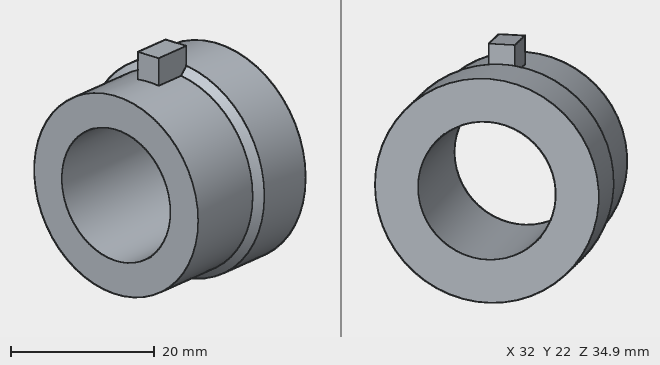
import cadquery as cq

length = 22.0
collar_radius = 16.0
body_radius = 14.85
bore_radius = 9.83
collar_length = 9.0
chamfer = collar_radius - body_radius

overall_height = 34.85
key_width = 3.75
key_length = 6.03
key_top = overall_height - collar_radius

front_y = -length / 2
back_y = length / 2
collar_front_y = back_y - collar_length


def make_sleeve():
    """Revolve the stepped wall section about the Y axis."""
    section = [
        (bore_radius, front_y),
        (body_radius, front_y),
        (body_radius, collar_front_y - chamfer),
        (collar_radius, collar_front_y),
        (collar_radius, back_y),
        (bore_radius, back_y),
    ]
    return cq.Workplane("XY").polyline(section).close().revolve(360, (0, 0), (0, 1))


def make_key():
    """Rectangular key whose foot is buried halfway into the sleeve wall."""
    key_bottom = (bore_radius + body_radius) / 2
    return (
        cq.Workplane("XY", origin=(0, collar_front_y - key_length / 2, key_bottom))
        .rect(key_width, key_length)
        .extrude(key_top - key_bottom)
    )


result = make_sleeve().union(make_key())